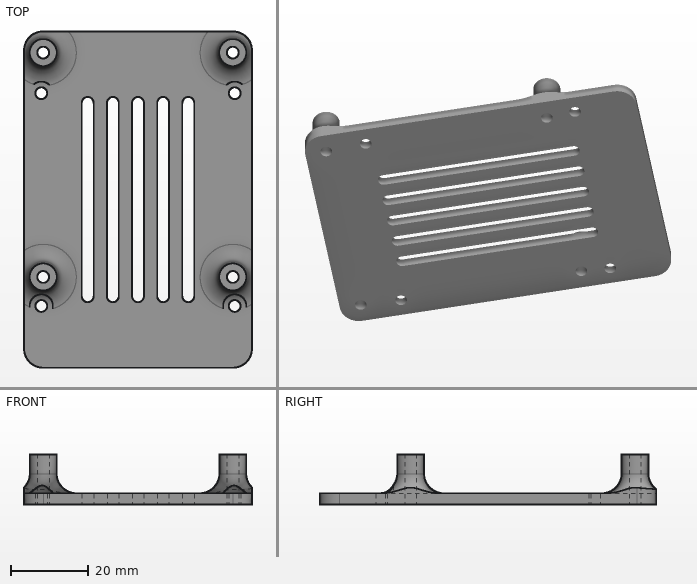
import cadquery as cq

PLATE_WIDTH = 59.0
PLATE_LENGTH = 87.0
PLATE_THICKNESS = 3.0
CORNER_RADIUS = 5.0
BACK_EDGE_Y = PLATE_LENGTH / 2

POST_SPACING_X = 49.0
POST_SPACING_Y = 58.0
POST_BACK_MARGIN = 5.5
POST_DIAMETER = 7.0
POST_HEIGHT = 10.0
POST_FOOT_RADIUS = 5.0
HOLE_DIAMETER = 3.0

MOUNT_SPACING_X = 50.0
MOUNT_SPACING_Y = 55.0
MOUNT_BACK_MARGIN = 16.0
SCREW_HEAD_DIAMETER = 6.0

SLOT_COUNT = 5
SLOT_PITCH = 6.5
SLOT_WIDTH = 3.0
SLOT_LENGTH = 53.0
SLOT_BACK_MARGIN = 17.0


def rectangle_corners(spacing_x, spacing_y, back_margin):
    """Four points mirrored about X = 0, the rear pair set in from the back edge."""
    back_y = BACK_EDGE_Y - back_margin
    return [(x, y) for x in (-spacing_x / 2, spacing_x / 2) for y in (back_y, back_y - spacing_y)]


def make_outline(height):
    """Rounded plate outline extruded up from Z = 0."""
    return (
        cq.Workplane("XY")
        .rect(PLATE_WIDTH, PLATE_LENGTH)
        .extrude(height)
        .edges("|Z")
        .fillet(CORNER_RADIUS)
    )


def make_post(x, y):
    """Post with a concave flared foot, revolved about its own axis."""
    radius = POST_DIAMETER / 2
    foot_top = PLATE_THICKNESS + POST_FOOT_RADIUS
    post_top = PLATE_THICKNESS + POST_HEIGHT
    arc_inset = POST_FOOT_RADIUS * (1 - 0.5**0.5)
    return (
        cq.Workplane("XZ")
        .lineTo(radius + POST_FOOT_RADIUS, 0)
        .lineTo(radius + POST_FOOT_RADIUS, PLATE_THICKNESS)
        .threePointArc((radius + arc_inset, PLATE_THICKNESS + arc_inset), (radius, foot_top))
        .lineTo(radius, post_top)
        .lineTo(0, post_top)
        .close()
        .revolve(360, (0, 0, 0), (0, 1, 0))
        .translate((x, y, 0))
    )


def make_cylinders(points, diameter, base_z):
    """Vertical cutting cylinders from base_z to the top of the posts."""
    height = PLATE_THICKNESS + POST_HEIGHT - base_z
    return (
        cq.Workplane("XY", origin=(0, 0, base_z))
        .pushPoints(points)
        .circle(diameter / 2)
        .extrude(height)
    )


def make_slots():
    """Row of round-ended slots running along Y."""
    center_y = BACK_EDGE_Y - SLOT_BACK_MARGIN - SLOT_LENGTH / 2
    return (
        cq.Workplane("XY", origin=(0, center_y, 0))
        .rarray(SLOT_PITCH, 1, SLOT_COUNT, 1)
        .slot2D(SLOT_LENGTH, SLOT_WIDTH, 90)
        .extrude(PLATE_THICKNESS)
    )


post_points = rectangle_corners(POST_SPACING_X, POST_SPACING_Y, POST_BACK_MARGIN)
mount_points = rectangle_corners(MOUNT_SPACING_X, MOUNT_SPACING_Y, MOUNT_BACK_MARGIN)

body = make_outline(PLATE_THICKNESS)
for post_x, post_y in post_points:
    body = body.union(make_post(post_x, post_y))

body = body.intersect(make_outline(PLATE_THICKNESS + POST_HEIGHT))

body = body.cut(make_cylinders(mount_points, SCREW_HEAD_DIAMETER, PLATE_THICKNESS))
body = body.cut(make_cylinders(post_points + mount_points, HOLE_DIAMETER, 0))
result = body.cut(make_slots())